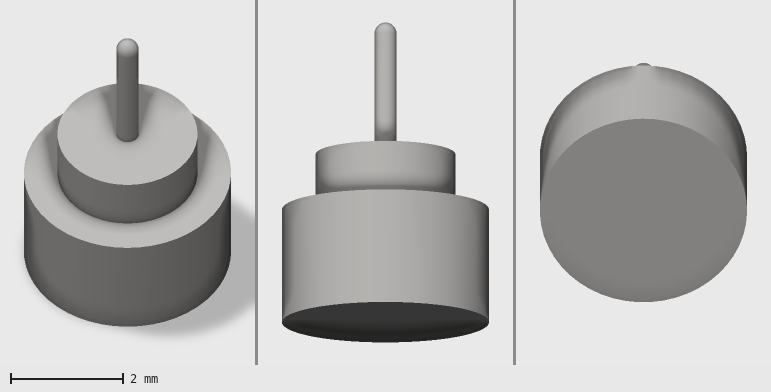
import cadquery as cq

total_height = 5.45

base_diameter = 3.7
collar_diameter = 2.5
collar_height = 1.005

pin_diameter = 0.4
pin_length = 2.4
pin_radius = pin_diameter / 2

base_height = total_height - pin_length - collar_height

body = (
    cq.Workplane("XY")
    .circle(base_diameter / 2)
    .extrude(base_height)
    .faces(">Z")
    .workplane()
    .circle(collar_diameter / 2)
    .extrude(collar_height)
)

collar_top = base_height + collar_height
shank_top = total_height - pin_radius
shank = (
    cq.Workplane("XY")
    .workplane(offset=collar_top)
    .circle(pin_radius)
    .extrude(shank_top - collar_top)
)
tip = cq.Workplane("XY").sphere(pin_radius).translate((0, 0, shank_top))

result = body.union(shank).union(tip)